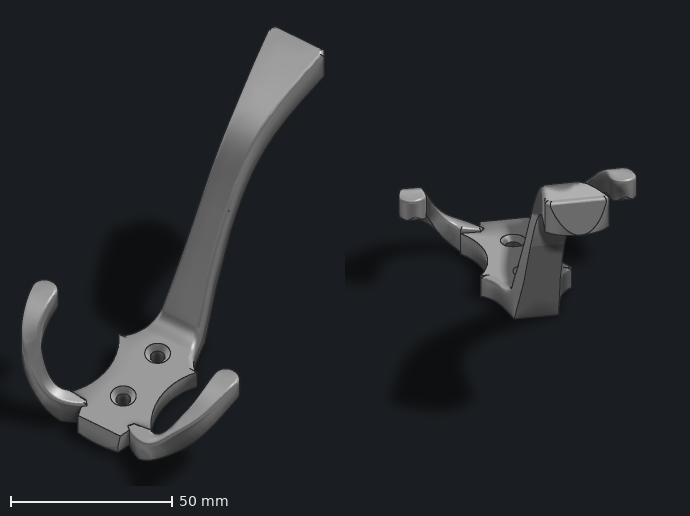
import cadquery as cq

OVERALL_LENGTH = 123.0
OVERALL_WIDTH = 75.02
PLATE_THICKNESS = 7.3
SOLID_HEIGHT = 90.0
SOLID_WIDTH = 90.0

FLAT_TOLERANCE = 0.02
UPPER_TILT_LIMIT = 0.2

PLATE_CORNER = (14.4, 20.2)
PLATE_WAIST = (9.9, 7.0)
PLATE_HOOK_ROOT = (15.2, -7.7)
PLATE_NOTCH = (8.8, -10.5)
TONGUE_HALF_WIDTH = 7.4
TONGUE_SIDE_Y = -14.9
FRONT_Y = -15.6
FRONT_TOP_Y = -14.0

HOLE_DIAMETER = 4.5
COUNTERSINK_DIAMETER = 8.0
HOLE_SPACING = 20.0

NECK_START_Y = PLATE_CORNER[1]
NECK_SIDE = [(10.6, 24.2), (8.6, 29.8), (5.9, 44.0), (5.4, 54.0), (6.6, 77.0), (8.2, 88.0)]
TIP_HALF_WIDTH = 10.2
TIP_SIDE_Y = 101.0
TIP_END_Y = FRONT_Y + OVERALL_LENGTH

SHANK_FOOT_BACK = (36.6, 0.0)
SHANK_BACK_TOP = (53.8, 34.5)
BACK_CURVE = [(59.5, 43.3), (68.4, 53.2), (77.6, 59.1), (88.7, 63.2)]
TIP_BACK = (TIP_END_Y, 67.1)
TIP_FRONT = (102.4, 77.14)
FRONT_CURVE = [(91.0, 74.3), (81.3, 71.0), (70.0, 65.0), (60.6, 56.4)]
SHANK_FRONT_TOP = (53.0, 46.1)
SHANK_FRONT_MID = (43.0, 29.4)
SHANK_FRONT_FOOT = (33.1, 10.3)
FOOT_FILLET_MID = (30.0, 7.8)
FOOT_FILLET_END = (25.3, PLATE_THICKNESS)
LONG_HOOK_EDGE_RADIUS = 1.6

HOOK_OUTER_X = OVERALL_WIDTH / 2
HOOK_INNER_X = 29.0
HOOK_END_Y = 7.0
HOOK_OUTER_CURVE = [(35.9, -0.5), (32.6, -7.7), (27.9, -12.3), (19.75, -14.7), (13.8, -13.6)]
HOOK_INNER_CURVE = [(28.4, -0.5), (26.5, -5.7), (22.0, -9.0)]
HOOK_RIDGE_BACK = (8.9, -7.5)
HOOK_RIDGE_POINT = (7.3, -9.2)

HOOK_SECTIONS = [
    ((5.5, -6.0), (5.5, -13.0), (-6.5, 7.9), (-7.0, 7.9)),
    ((10.0, -6.0), (10.0, -13.5), (-3.0, 8.4), (-3.2, 8.4)),
    ((15.0, -6.9), (14.5, -14.8), (0.6, 9.3), (0.1, 9.8)),
    ((21.0, -8.0), (19.8, -15.7), (6.4, 14.2), (4.0, 12.2)),
    ((24.8, -6.6), (26.0, -14.5), (13.6, 21.6), (9.0, 18.2)),
    ((26.7, -3.4), (33.3, -8.0), (18.3, 27.0), (15.9, 24.8)),
    ((27.5, 0.5), (37.0, -0.9), (21.4, 29.6), (20.6, 29.0)),
    ((28.0, 6.0), (38.5, 6.0), (23.4, 31.1), (23.4, 31.1)),
    ((28.0, 12.0), (38.5, 12.0), (23.6, 31.1), (23.6, 31.1)),
]
HOOK_TIP_UNDERSIDE = 23.3
HOOK_TIP_ROUND = 2.2
HOOK_EDGE_RADIUS = 1.2


def mirrored(point):
    """Point on the opposite side of the symmetry plane."""
    return (-point[0], point[1])


def round_upper_edges(body, radius):
    """Fillet the rim of the upper surfaces, except on a flat end that faces -Y."""
    upper = []
    sides = []
    for face in body.faces().vals():
        normal = face.normalAt()
        if normal.z > FLAT_TOLERANCE and normal.y < UPPER_TILT_LIMIT:
            upper.append(face)
        elif normal.y > FLAT_TOLERANCE - 1:
            sides.append(face)
    side_edges = [edge for face in sides for edge in face.Edges()]
    rim = [
        edge
        for face in upper
        for edge in face.Edges()
        if any(edge.isSame(side_edge) for side_edge in side_edges)
    ]
    return body.newObject(rim).fillet(radius)


def base_plate():
    """Waisted plate whose front tongue leans back."""
    shoulder_y = PLATE_CORNER[1]
    plate = (
        cq.Workplane("XY")
        .moveTo(*PLATE_CORNER)
        .threePointArc(PLATE_WAIST, PLATE_HOOK_ROOT)
        .lineTo(*PLATE_NOTCH)
        .lineTo(TONGUE_HALF_WIDTH, TONGUE_SIDE_Y)
        .threePointArc((0, FRONT_Y), (-TONGUE_HALF_WIDTH, TONGUE_SIDE_Y))
        .lineTo(*mirrored(PLATE_NOTCH))
        .lineTo(*mirrored(PLATE_HOOK_ROOT))
        .threePointArc(mirrored(PLATE_WAIST), mirrored(PLATE_CORNER))
        .close()
        .extrude(PLATE_THICKNESS)
    )
    lean = (
        cq.Workplane("YZ")
        .polyline(
            [
                (FRONT_Y, 0),
                (shoulder_y, 0),
                (shoulder_y, PLATE_THICKNESS),
                (FRONT_TOP_Y, PLATE_THICKNESS),
            ]
        )
        .close()
        .extrude(SOLID_WIDTH / 2, both=True)
    )
    return plate.intersect(lean)


def long_hook():
    """Flared plan outline crossed with the bent side profile."""
    left_side = [mirrored(point) for point in reversed(NECK_SIDE)]
    plan = (
        cq.Workplane("XY")
        .moveTo(*PLATE_CORNER)
        .spline(NECK_SIDE + [(TIP_HALF_WIDTH, TIP_SIDE_Y)], includeCurrent=True)
        .threePointArc((0, TIP_END_Y), (-TIP_HALF_WIDTH, TIP_SIDE_Y))
        .spline(left_side + [mirrored(PLATE_CORNER)], includeCurrent=True)
        .close()
        .extrude(SOLID_HEIGHT)
    )
    side = (
        cq.Workplane("YZ", origin=(-SOLID_WIDTH / 2, 0, 0))
        .moveTo(NECK_START_Y, 0)
        .lineTo(*SHANK_FOOT_BACK)
        .lineTo(*SHANK_BACK_TOP)
        .spline(BACK_CURVE + [TIP_BACK], includeCurrent=True)
        .lineTo(*TIP_FRONT)
        .spline(FRONT_CURVE + [SHANK_FRONT_TOP], includeCurrent=True)
        .threePointArc(SHANK_FRONT_MID, SHANK_FRONT_FOOT)
        .threePointArc(FOOT_FILLET_MID, FOOT_FILLET_END)
        .lineTo(NECK_START_Y, PLATE_THICKNESS)
        .close()
        .extrude(SOLID_WIDTH)
    )
    return round_upper_edges(plan.intersect(side), LONG_HOOK_EDGE_RADIUS)


def hook_section(inner, outer, inner_heights, outer_heights):
    """Closed four-sided wire standing across the side hook."""
    inner_bottom, inner_top = inner_heights
    outer_bottom, outer_top = outer_heights
    corners = [
        (*inner, inner_bottom),
        (*outer, outer_bottom),
        (*outer, outer_top),
        (*inner, inner_top),
    ]
    return cq.Wire.makePolygon([cq.Vector(*corner) for corner in corners], close=True)


def side_hook():
    """Right-hand hook: J-shaped plan crossed with a rising lofted bar."""
    mid_x = (HOOK_OUTER_X + HOOK_INNER_X) / 2
    tip_y = HOOK_END_Y + (HOOK_OUTER_X - HOOK_INNER_X) / 2
    plan = (
        cq.Workplane("XY")
        .moveTo(HOOK_INNER_X, HOOK_END_Y)
        .threePointArc((mid_x, tip_y), (HOOK_OUTER_X, HOOK_END_Y))
        .spline(HOOK_OUTER_CURVE + [PLATE_NOTCH], includeCurrent=True)
        .lineTo(*HOOK_RIDGE_POINT)
        .lineTo(*HOOK_RIDGE_BACK)
        .lineTo(*PLATE_HOOK_ROOT)
        .spline(HOOK_INNER_CURVE[::-1] + [(HOOK_INNER_X, HOOK_END_Y)], includeCurrent=True)
        .close()
        .extrude(SOLID_HEIGHT)
    )
    sections = [hook_section(*section) for section in HOOK_SECTIONS]
    bar = cq.Workplane(obj=cq.Solid.makeLoft(sections))
    tip_corner = (
        cq.Workplane("YZ")
        .moveTo(tip_y, HOOK_TIP_UNDERSIDE + HOOK_TIP_ROUND)
        .radiusArc((tip_y - HOOK_TIP_ROUND, HOOK_TIP_UNDERSIDE), HOOK_TIP_ROUND)
        .lineTo(tip_y - HOOK_TIP_ROUND, 0)
        .lineTo(tip_y, 0)
        .close()
        .extrude(SOLID_WIDTH)
    )
    return round_upper_edges(plan.intersect(bar), HOOK_EDGE_RADIUS).cut(tip_corner)


def screw_hole():
    """Cutter for a through hole with a right-angled countersink at the top."""
    countersink_depth = (COUNTERSINK_DIAMETER - HOLE_DIAMETER) / 2
    hole_radius = HOLE_DIAMETER / 2
    return (
        cq.Workplane("XZ")
        .polyline(
            [
                (0, 0),
                (hole_radius, 0),
                (hole_radius, PLATE_THICKNESS - countersink_depth),
                (COUNTERSINK_DIAMETER / 2, PLATE_THICKNESS),
                (0, PLATE_THICKNESS),
            ]
        )
        .close()
        .revolve(360, (0, 0), (0, 1))
    )


right_hook = side_hook()
left_hook = right_hook.mirror("YZ")
result = base_plate().union(long_hook()).union(right_hook).union(left_hook)
for hole_y in (0, HOLE_SPACING):
    result = result.cut(screw_hole().translate((0, hole_y, 0)))